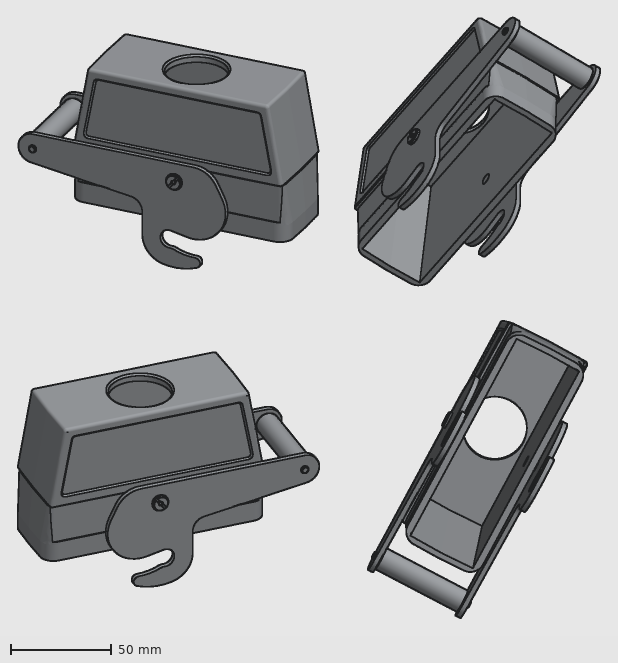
import cadquery as cq
import math

HOOD_LENGTH = 120.0
HOOD_HEIGHT = 75.5
RIM_WIDTH = 42.5
RIM_HEIGHT = 9.3
RIM_CORNER_RADIUS = 7.2
END_RIDGE = 0.5

WAIST_HEIGHT = 31.8
WAIST_LENGTH = 116.0
WAIST_CORNER_RADIUS = 3.0
LEDGE_HEIGHT = 10.9
RECESSED_WIDTH = 41.3
RECESSED_LENGTH = 122.0
RECESSED_CORNER_RADIUS = 6.3

UPPER_WIDTH = 45.0
TOP_LENGTH = 100.4
UPPER_EDGE_RADIUS = 1.75
OVERHANG_CHAMFER = 0.5

PANEL_BOTTOM = 36.8
PANEL_TOP = 70.9
PANEL_BOTTOM_LENGTH = 104.4
PANEL_TOP_LENGTH = 91.6
PANEL_CORNER_RADIUS = 2.5
PANEL_DEPTH = 0.9
PANEL_WALL_ANGLE = 45.0

ENTRY_DIAMETER = 32.0
ENTRY_CHAMFER = 1.0
ROOF_THICKNESS = 4.0
WALL = 3.0
CAVITY_WIDTH = RECESSED_WIDTH - 2 * WALL
CAVITY_BOTTOM_LENGTH = HOOD_LENGTH - 2 * WALL
CAVITY_TOP_LENGTH = TOP_LENGTH - 2 * WALL

PLATE_INNER_Y = 23.4
PLATE_THICKNESS = 2.75
PLATE_OUTER_Y = PLATE_INNER_Y + PLATE_THICKNESS

END_RADIUS = 8.0
OVERALL_LENGTH = 145.98
HANDLE_X = HOOD_LENGTH / 2 - OVERALL_LENGTH + END_RADIUS
HANDLE_Z = 26.8
ROLLER_DIAMETER = 12.0
ROLLER_END_CHAMFER = 0.4
RIVET_DIAMETER = 3.95
RIVET_TIP_DIAMETER = 3.0
RIVET_HEIGHT = 1.1

PIVOT_X = 0.0
PIVOT_Z = 24.8
PIVOT_DIAMETER = 5.37
PIVOT_HOLE_DIAMETER = 5.6
OVERALL_WIDTH = 55.8
HEAD_DIAMETER = 8.5
HEAD_HEIGHT = OVERALL_WIDTH / 2 - PLATE_OUTER_Y
HEAD_CHAMFER = 0.6
SLOT_WIDTH = 1.2
SLOT_DEPTH = 0.6
SLOT_ANGLE = 50.0
CENTRE_HOLE_DIAMETER = 2.2
CENTRE_HOLE_DEPTH = 1.1

SHOULDER_RADIUS = 14.0
SHOULDER = (10.3, HANDLE_Z + END_RADIUS - SHOULDER_RADIUS)
HEEL = (10.5, 12.4)
HEEL_RADIUS = 17.6
ARMPIT_RADIUS = 7.0
HOOK_LEFT_X = -17.8
ARMPIT = (HOOK_LEFT_X - ARMPIT_RADIUS, 4.5)
HOOK_BACK_RADIUS = 14.5
HOOK_BACK = (HOOK_LEFT_X + HOOK_BACK_RADIUS, -8.31)
HOOK_BELLY = (0.3, 8.46)
HOOK_BELLY_RADIUS = HOOK_BACK_RADIUS + math.dist(HOOK_BACK, HOOK_BELLY)
HOOK_TIP = (11.3, -18.2)
HOOK_TIP_RADIUS = HOOK_BELLY_RADIUS - math.dist(HOOK_BELLY, HOOK_TIP)
LIP_RADIUS = math.dist(HEEL, HOOK_TIP) - HOOK_TIP_RADIUS
THROAT = (-2.9, -7.9)
THROAT_RADIUS = 4.9
LIP_FILLET_RADIUS = 4.0


def ridged_section(length, width, z):
    """Closed wire of a rectangle whose two short sides are folded outwards along Y = 0."""
    tip = length / 2
    corner = tip - END_RIDGE
    side = width / 2
    points = [(tip, 0), (corner, side), (-corner, side), (-tip, 0), (-corner, -side), (corner, -side)]
    return cq.Workplane("XY", origin=(0, 0, z)).polyline(points).close().wire().val()


def rounded_section(length, width, z, radius):
    """Ridged section with its four corners rounded."""
    wire = ridged_section(length, width, z)
    corners = [v for v in wire.Vertices() if abs(v.Y) > width / 4]
    return wire.fillet2D(radius, corners)


def make_lower_part():
    rim_bottom = rounded_section(HOOD_LENGTH, RIM_WIDTH, 0, RIM_CORNER_RADIUS)
    rim_top = rounded_section(HOOD_LENGTH, RIM_WIDTH, RIM_HEIGHT, RIM_CORNER_RADIUS)
    waist = rounded_section(WAIST_LENGTH, RIM_WIDTH, WAIST_HEIGHT, WAIST_CORNER_RADIUS)
    rim = cq.Workplane(cq.Solid.makeLoft([rim_bottom, rim_top], True))
    body = cq.Workplane(cq.Solid.makeLoft([rim_top, waist], True))

    below_ledge = cq.Workplane("XY").rect(RECESSED_LENGTH, UPPER_WIDTH).extrude(LEDGE_HEIGHT)
    above_ledge = (
        cq.Workplane("XY")
        .rect(RECESSED_LENGTH, RECESSED_WIDTH)
        .extrude(WAIST_HEIGHT)
        .edges("|Z")
        .fillet(RECESSED_CORNER_RADIUS)
    )
    return rim.union(body.intersect(below_ledge.union(above_ledge)))


def make_upper_part():
    waist = ridged_section(WAIST_LENGTH, UPPER_WIDTH, WAIST_HEIGHT)
    top = ridged_section(TOP_LENGTH, UPPER_WIDTH, HOOD_HEIGHT)
    upper = cq.Workplane(cq.Solid.makeLoft([waist, top], True))
    rounded = [e for e in upper.edges("not <Z").vals() if abs(e.Center().y) > END_RIDGE]
    upper = upper.newObject(rounded).fillet(UPPER_EDGE_RADIUS)
    return upper.faces("<Z").edges("|X").chamfer(OVERHANG_CHAMFER)


def make_panel_recess():
    """Cutter for the sunken panel on the -Y side."""
    outline = [
        (-PANEL_BOTTOM_LENGTH / 2, PANEL_BOTTOM),
        (PANEL_BOTTOM_LENGTH / 2, PANEL_BOTTOM),
        (PANEL_TOP_LENGTH / 2, PANEL_TOP),
        (-PANEL_TOP_LENGTH / 2, PANEL_TOP),
    ]
    wire = cq.Workplane("XZ").polyline(outline).close().wire().val()
    wire = wire.fillet2D(PANEL_CORNER_RADIUS, wire.Vertices()).translate(cq.Vector(0, -UPPER_WIDTH / 2, 0))
    return cq.Workplane(
        cq.Solid.extrudeLinear(wire, [], cq.Vector(0, PANEL_DEPTH, 0), PANEL_WALL_ANGLE)
    )


def make_cavity():
    bottom = ridged_section(CAVITY_BOTTOM_LENGTH, CAVITY_WIDTH, 0)
    top = ridged_section(CAVITY_TOP_LENGTH, CAVITY_WIDTH, HOOD_HEIGHT - ROOF_THICKNESS)
    return cq.Workplane(cq.Solid.makeLoft([bottom, top], True))


def make_hood():
    hood = make_lower_part().union(make_upper_part())
    panel = make_panel_recess()
    hood = hood.cut(panel).cut(panel.mirror("XZ")).cut(make_cavity())

    entry = (
        cq.Workplane("XY", origin=(0, 0, HOOD_HEIGHT))
        .circle(ENTRY_DIAMETER / 2)
        .extrude(-2 * ROOF_THICKNESS)
    )
    entry_chamfer = cq.Workplane(
        cq.Solid.makeCone(
            ENTRY_DIAMETER / 2, ENTRY_DIAMETER / 2 + ENTRY_CHAMFER, ENTRY_CHAMFER,
            pnt=cq.Vector(0, 0, HOOD_HEIGHT - ENTRY_CHAMFER),
        )
    )
    pivot_hole = (
        cq.Workplane("XZ", origin=(PIVOT_X, 0, PIVOT_Z))
        .circle(PIVOT_HOLE_DIAMETER / 2)
        .extrude(UPPER_WIDTH, both=True)
    )
    return hood.cut(entry).cut(entry_chamfer).cut(pivot_hole)


def lip_fillet_centre():
    """Centre of the rounding that touches both the throat and the lip from outside."""
    base = math.dist(HEEL, THROAT)
    from_heel = LIP_RADIUS + LIP_FILLET_RADIUS
    from_throat = THROAT_RADIUS + LIP_FILLET_RADIUS
    opening = math.acos((base**2 + from_heel**2 - from_throat**2) / (2 * base * from_heel))
    angle = math.atan2(THROAT[1] - HEEL[1], THROAT[0] - HEEL[0]) + opening
    return (HEEL[0] + from_heel * math.cos(angle), HEEL[1] + from_heel * math.sin(angle))


def tangent_normal(start, end):
    """Angle of the normal of the line that leaves one arc and meets the next one tangentially.

    An arc is (centre, radius), its radius negative where the outline bends inwards.
    """
    (x0, z0), r0 = start
    (x1, z1), r1 = end
    ratio = (r0 - r1) / math.hypot(x1 - x0, z1 - z0)
    towards_next = math.atan2(z1 - z0, x1 - x0)
    return towards_next - math.acos(max(-1.0, min(1.0, ratio)))


def on_arc(arc, angle):
    (x, z), radius = arc
    return (x + radius * math.cos(angle), z + radius * math.sin(angle))


def make_plate_outline(plane):
    """Counter-clockwise outline of arcs joined by their common tangents."""
    arcs = [
        ((HANDLE_X, HANDLE_Z), END_RADIUS),
        (ARMPIT, -ARMPIT_RADIUS),
        (HOOK_BACK, HOOK_BACK_RADIUS),
        (HOOK_BELLY, HOOK_BELLY_RADIUS),
        (HOOK_TIP, HOOK_TIP_RADIUS),
        (HEEL, -LIP_RADIUS),
        (lip_fillet_centre(), LIP_FILLET_RADIUS),
        (THROAT, -THROAT_RADIUS),
        (HEEL, HEEL_RADIUS),
        (SHOULDER, SHOULDER_RADIUS),
    ]
    shortest_line = 0.01
    count = len(arcs)
    leaving = [tangent_normal(arcs[i], arcs[(i + 1) % count]) for i in range(count)]
    pen = on_arc(arcs[-1], leaving[-1])
    outline = plane.moveTo(*pen)
    for i, arc in enumerate(arcs):
        first = leaving[i - 1]
        turn = (leaving[i] - first) % (2 * math.pi)
        if arc[1] < 0:
            turn -= 2 * math.pi
        arc_start = on_arc(arc, first)
        if math.dist(pen, arc_start) > shortest_line:
            outline = outline.lineTo(*arc_start)
        pen = on_arc(arc, first + turn)
        outline = outline.threePointArc(on_arc(arc, first + turn / 2), pen)
    return outline.close()


def make_pivot_screw():
    """Pin and slotted head on the -Y side."""
    pin_end_y = CAVITY_WIDTH / 2
    pin = (
        cq.Workplane("XZ", origin=(PIVOT_X, -pin_end_y, PIVOT_Z))
        .circle(PIVOT_DIAMETER / 2)
        .extrude(PLATE_OUTER_Y - pin_end_y)
    )
    head_top = cq.Workplane("XZ", origin=(PIVOT_X, -OVERALL_WIDTH / 2, PIVOT_Z))
    head = (
        cq.Workplane("XZ", origin=(PIVOT_X, -PLATE_OUTER_Y, PIVOT_Z))
        .circle(HEAD_DIAMETER / 2)
        .extrude(HEAD_HEIGHT)
        .faces("<Y")
        .chamfer(HEAD_CHAMFER)
    )
    slot_plane = head_top.transformed(rotate=(0, 0, SLOT_ANGLE))
    slot = slot_plane.rect(HEAD_DIAMETER, SLOT_WIDTH).extrude(-SLOT_DEPTH)
    centre_hole = head_top.circle(CENTRE_HOLE_DIAMETER / 2).extrude(-CENTRE_HOLE_DEPTH)
    return pin.union(head.cut(slot).cut(centre_hole))


def make_rivet():
    """Riveted end of the handle on the -Y side."""
    return (
        cq.Workplane("XZ", origin=(HANDLE_X, -PLATE_OUTER_Y, HANDLE_Z))
        .circle(RIVET_DIAMETER / 2)
        .extrude(RIVET_HEIGHT)
        .faces("<Y")
        .chamfer((RIVET_DIAMETER - RIVET_TIP_DIAMETER) / 2)
    )


def make_lever():
    plate_plane = cq.Workplane("XZ", origin=(0, -PLATE_INNER_Y, 0))
    plate = make_plate_outline(plate_plane).extrude(PLATE_THICKNESS)
    side = plate.union(make_pivot_screw()).union(make_rivet())
    roller = (
        cq.Workplane("XZ", origin=(HANDLE_X, 0, HANDLE_Z))
        .circle(ROLLER_DIAMETER / 2)
        .extrude(PLATE_INNER_Y, both=True)
        .faces("<Y or >Y")
        .chamfer(ROLLER_END_CHAMFER)
    )
    return roller.union(side).union(side.mirror("XZ"))


hood = make_hood()
lever = make_lever()
result = cq.Compound.makeCompound([hood.solids().val(), lever.solids().val()])